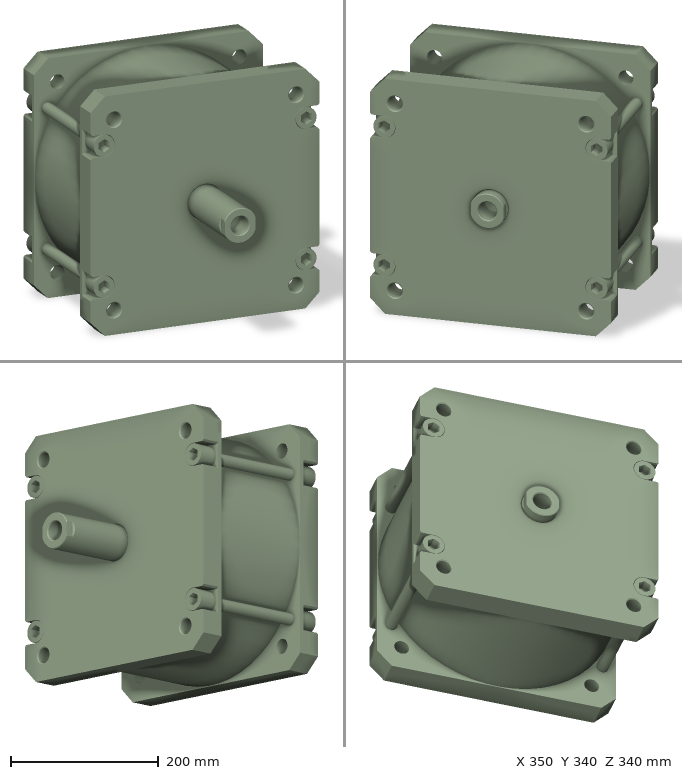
import cadquery as cq
import math

SHAFT_LENGTH = 350.0
SHAFT_STUB = 15.0
STACK_LENGTH = 220.0

PLATE_SIDE = 340.0
PLATE_THICKNESS = 34.3
PLATE_CORNER = 21.0
MOUNT_HOLE_DIAMETER = 21.0
MOUNT_HOLE_OFFSET = 135.0
HOLE_CHAMFER = 1.5

BARREL_DIAMETER = 337.8
BARREL_LENGTH = STACK_LENGTH - 2 * PLATE_THICKNESS

ROD_Y = 150.0
ROD_Z = 100.0
ROD_DIAMETER = 16.8
HEAD_DIAMETER = 30.5
HEAD_LENGTH = 28.0
SOCKET_ACROSS_FLATS = 16.0
SOCKET_FLOOR_ACROSS_FLATS = 13.3
SOCKET_DEPTH = 14.0

SLOT_WIDTH = 32.0
SLOT_CHAMFER = 2.5

SHAFT_DIAMETER = 50.0
FLAT_SPACING = 46.0
FLAT_LENGTH = 12.0
SHAFT_END_CHAMFER = 1.0
FLAT_RUNOUT = (SHAFT_DIAMETER - FLAT_SPACING) / 2
CENTRE_BORE_DIAMETER = 26.2
CENTRE_BORE_CHAMFER = 1.5
CENTRE_BORE_DEPTH = 35.0
DRILL_POINT_ANGLE = 118.0

ROD_CENTRES = [(y, z) for y in (-ROD_Y, ROD_Y) for z in (-ROD_Z, ROD_Z)]
MOUNT_CENTRES = [
    (y, z)
    for y in (-MOUNT_HOLE_OFFSET, MOUNT_HOLE_OFFSET)
    for z in (-MOUNT_HOLE_OFFSET, MOUNT_HOLE_OFFSET)
]


def plane_at(x):
    """Sketch plane facing +X, whose local x and y are the part's Y and Z."""
    return cq.Workplane("YZ", origin=(x, 0, 0))


def mirror_end_to_end(body):
    """Copy of a body mirrored about the middle of the plate stack."""
    return body.mirror("YZ", basePointVector=(STACK_LENGTH / 2, 0, 0))


def make_head_slot(y, z):
    """Round-ended slot from the rod centre out through the plate side, with a chamfered mouth."""
    side = math.copysign(1, y)
    half_width = SLOT_WIDTH / 2
    edge = side * PLATE_SIDE / 2
    outline = (
        plane_at(0)
        .moveTo(y, z - half_width)
        .lineTo(edge - side * SLOT_CHAMFER, z - half_width)
        .lineTo(edge, z - half_width - SLOT_CHAMFER)
        .lineTo(edge, z + half_width + SLOT_CHAMFER)
        .lineTo(edge - side * SLOT_CHAMFER, z + half_width)
        .lineTo(y, z + half_width)
        .threePointArc((y - side * half_width, z), (y, z - half_width))
        .close()
    )
    return outline.extrude(HEAD_LENGTH)


def make_countersink(y, z, mouth_diameter, depth):
    """Cutter for a 45 degree countersink that narrows from X = 0 towards +X."""
    mouth_radius = mouth_diameter / 2
    centre = cq.Vector(0, y, z)
    cone = cq.Solid.makeCone(mouth_radius, mouth_radius - depth, depth, centre, cq.Vector(1, 0, 0))
    return cq.Workplane(cone)


def make_chamfered_hole(y, z, diameter):
    """Cutter for a hole through the plate with a chamfer at its outer mouth."""
    hole = plane_at(0).center(y, z).circle(diameter / 2).extrude(PLATE_THICKNESS)
    return hole.union(make_countersink(y, z, diameter + 2 * HOLE_CHAMFER, HOLE_CHAMFER))


def make_plate():
    plate = (
        plane_at(0)
        .rect(PLATE_SIDE, PLATE_SIDE)
        .extrude(PLATE_THICKNESS)
        .edges("|X")
        .chamfer(PLATE_CORNER)
    )
    rod_holes = plane_at(0).pushPoints(ROD_CENTRES).circle(ROD_DIAMETER / 2).extrude(PLATE_THICKNESS)
    plate = plate.cut(rod_holes)
    plate = plate.cut(make_chamfered_hole(0, 0, SHAFT_DIAMETER))
    for y, z in MOUNT_CENTRES:
        plate = plate.cut(make_chamfered_hole(y, z, MOUNT_HOLE_DIAMETER))
    for y, z in ROD_CENTRES:
        plate = plate.cut(make_head_slot(y, z))
    return plate


def make_barrel():
    return (
        plane_at(PLATE_THICKNESS)
        .circle(BARREL_DIAMETER / 2)
        .circle(SHAFT_DIAMETER / 2)
        .extrude(BARREL_LENGTH)
    )


def make_socket(y, z):
    """Hexagon socket tapering to its floor, with two corners pointing along Z."""
    across_corners = SOCKET_ACROSS_FLATS / math.cos(math.pi / 6)
    inset = (SOCKET_ACROSS_FLATS - SOCKET_FLOOR_ACROSS_FLATS) / 2
    draft = math.degrees(math.atan2(inset, SOCKET_DEPTH))
    hexagon = plane_at(0).polygon(6, across_corners).extrude(SOCKET_DEPTH, taper=draft)
    return hexagon.rotate((0, 0, 0), (1, 0, 0), 90).translate((0, y, z))


def make_tie_rod(y, z):
    rod = plane_at(0).center(y, z).circle(ROD_DIAMETER / 2).extrude(STACK_LENGTH)
    head = plane_at(0).center(y, z).circle(HEAD_DIAMETER / 2).extrude(HEAD_LENGTH)
    socket = make_socket(y, z)
    rod = rod.union(head).union(mirror_end_to_end(head))
    return rod.cut(socket).cut(mirror_end_to_end(socket))


def make_end_cutters():
    """Centre bore and the two flats with sloped run-outs, for a shaft end at X = 0 pointing to -X."""
    radius = SHAFT_DIAMETER / 2
    bore_radius = CENTRE_BORE_DIAMETER / 2
    point_length = bore_radius / math.tan(math.radians(DRILL_POINT_ANGLE / 2))
    bore = (
        cq.Workplane("XY")
        .polyline([
            (0, 0),
            (0, bore_radius + CENTRE_BORE_CHAMFER),
            (CENTRE_BORE_CHAMFER, bore_radius),
            (CENTRE_BORE_DEPTH, bore_radius),
            (CENTRE_BORE_DEPTH + point_length, 0),
        ])
        .close()
        .revolve(360, (0, 0, 0), (1, 0, 0))
    )
    flat = (
        cq.Workplane("XY")
        .polyline([
            (0, FLAT_SPACING / 2),
            (FLAT_LENGTH, FLAT_SPACING / 2),
            (FLAT_LENGTH + FLAT_RUNOUT, radius),
            (0, radius),
        ])
        .close()
        .extrude(radius, both=True)
    )
    return bore.union(flat).union(flat.mirror("XZ"))


def make_shaft():
    shaft = cq.Workplane("YZ").circle(SHAFT_DIAMETER / 2).extrude(SHAFT_LENGTH)
    shaft = shaft.faces("<X or >X").edges().chamfer(SHAFT_END_CHAMFER)
    cutters = make_end_cutters()
    far_cutters = cutters.mirror("YZ", basePointVector=(SHAFT_LENGTH / 2, 0, 0))
    shaft = shaft.cut(cutters).cut(far_cutters)
    return shaft.translate((-SHAFT_STUB, 0, 0))


near_plate = make_plate()
far_plate = mirror_end_to_end(near_plate)
barrel = make_barrel()
shaft = make_shaft()
tie_rods = [make_tie_rod(y, z) for y, z in ROD_CENTRES]

result = cq.Compound.makeCompound([
    near_plate.val(),
    far_plate.val(),
    barrel.val(),
    shaft.val(),
    *[rod.val() for rod in tie_rods],
])